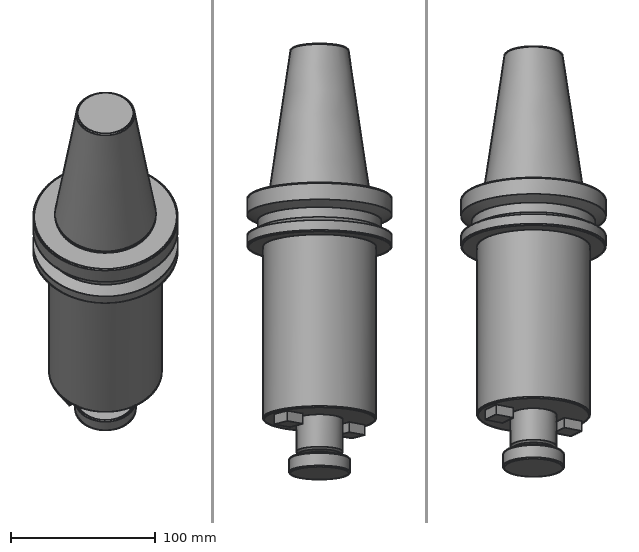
import cadquery as cq

taper_length = 102.0
total_length = 299.8
taper_large_diameter = 70.0
taper_ratio = 7 / 24
taper_small_diameter = taper_large_diameter - taper_length * taper_ratio
taper_tip_chamfer = 1.0

neck_length = 3.0
neck_land = 1.2
relief_depth = 0.5

flange_diameter = 100.0
flange_thickness = 34.8
flange_chamfer = 1.0
groove_diameter = 85.5
groove_floor_width = 7.0
groove_side_height = 4.0
upper_lip_thickness = 12.3

body_diameter = 78.2
body_bottom = -159.8
body_chamfer = 1.0

pilot_diameter = 32.0
pilot_length = 24.3
pilot_chamfer = 1.5
stem_diameter = 16.0
head_diameter = 42.3
head_thickness = 10.5
head_chamfer = 1.0

key_width = 14.0
key_height = 7.2
key_center_offset = 28.0
key_embed = 3.0

flange_top = -neck_length
flange_bottom = flange_top - flange_thickness
pilot_bottom = body_bottom - pilot_length
part_bottom = taper_length - total_length
head_top = part_bottom + head_thickness


def cylinder(diameter, bottom, top):
    return cq.Workplane("XY").workplane(offset=bottom).circle(diameter / 2).extrude(top - bottom)


def make_taper():
    """Solid taper shank with a relieved neck just above the flange."""
    large_radius = taper_large_diameter / 2
    small_radius = taper_small_diameter / 2
    outline = [
        (0, flange_top),
        (large_radius - relief_depth, flange_top),
        (large_radius - relief_depth, -neck_land),
        (large_radius, -neck_land),
        (large_radius, 0),
        (small_radius, taper_length),
        (0, taper_length),
    ]
    taper = cq.Workplane("XZ").polyline(outline).close().revolve(360, (0, 0), (0, 1))
    return taper.faces(">Z").chamfer(taper_tip_chamfer)


def make_flange():
    """Gripper flange with a trapezoidal groove around it."""
    flange = cylinder(flange_diameter, flange_bottom, flange_top).faces("<Z or >Z").chamfer(flange_chamfer)
    groove_top = flange_top - upper_lip_thickness
    floor_top = groove_top - groove_side_height
    floor_bottom = floor_top - groove_floor_width
    groove_bottom = floor_bottom - groove_side_height
    groove_outline = [
        (flange_diameter / 2, groove_top),
        (groove_diameter / 2, floor_top),
        (groove_diameter / 2, floor_bottom),
        (flange_diameter / 2, groove_bottom),
    ]
    groove = cq.Workplane("XZ").polyline(groove_outline).close().revolve(360, (0, 0), (0, 1))
    return flange.cut(groove)


def make_body_and_screw():
    """Arbor body, pilot and clamping screw, stacked along the axis."""
    body = cylinder(body_diameter, body_bottom, flange_bottom).faces("<Z").chamfer(body_chamfer)
    pilot = cylinder(pilot_diameter, pilot_bottom, body_bottom).faces("<Z").chamfer(pilot_chamfer)
    stem = cylinder(stem_diameter, head_top, pilot_bottom)
    head = cylinder(head_diameter, part_bottom, head_top).faces("<Z or >Z").chamfer(head_chamfer)
    return body.union(pilot).union(stem).union(head)


def make_drive_keys():
    """Two square drive keys on opposite sides of the pilot, along Y."""
    return (
        cq.Workplane("XY")
        .workplane(offset=body_bottom - key_height)
        .pushPoints([(0, -key_center_offset), (0, key_center_offset)])
        .rect(key_width, key_width)
        .extrude(key_height + key_embed)
    )


result = make_taper().union(make_flange()).union(make_body_and_screw()).union(make_drive_keys())